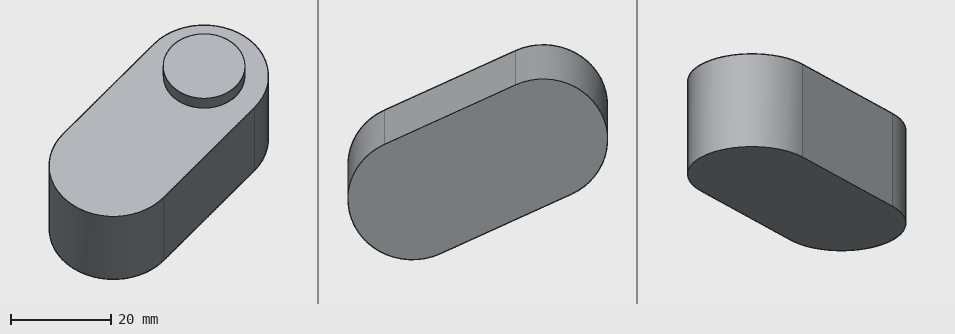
import cadquery as cq

body_length = 54.6
body_width = 25.65
total_height = 23.65
boss_height = 3.15
boss_diameter = 16.3

body_height = total_height - boss_height
end_center_y = (body_length - body_width) / 2

body = (
    cq.Workplane("XY")
    .slot2D(body_length, body_width, angle=90)
    .extrude(body_height)
)

boss = (
    cq.Workplane("XY", origin=(0, end_center_y, body_height))
    .circle(boss_diameter / 2)
    .extrude(boss_height)
)

result = body.union(boss)